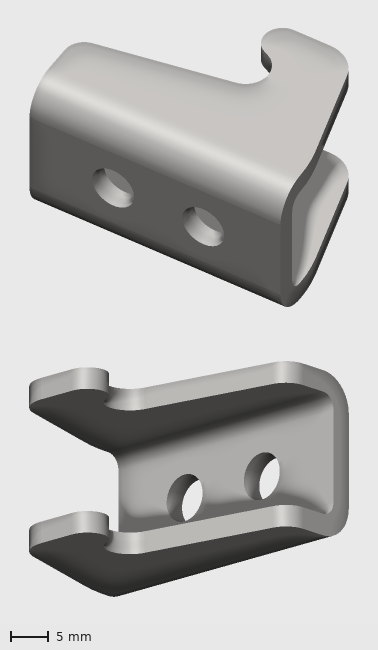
import cadquery as cq
import math

length = 39.0
depth = 28.0
height = 23.0

wall = 3.0
inner_bend_radius = 2.0
outer_bend_radius = inner_bend_radius + wall

hole_diameter = 6.5
first_hole_x = 13.0
hole_spacing = 14.0

heel_radius = 3.0
ramp_angle = math.radians(10)
throat_x, throat_y = 22.0, 19.0
throat_radius = 3.5
tip_radius = 2.9
tip_x, tip_y = 24.02, depth - tip_radius
crown_radius = 5.0
flank_angle = math.radians(15)
flank_radius = 20.0


def on_circle(x, y, radius, angle):
    """Point on a circle at an angle measured from +X."""
    return (x + radius * math.cos(angle), y + radius * math.sin(angle))


def channel():
    """U-shaped channel, open towards +Y, running along X."""
    outer = (
        cq.Workplane("XY")
        .box(length, depth, height, centered=False)
        .edges("|X and <Y")
        .fillet(outer_bend_radius)
    )
    inner = (
        cq.Workplane("XY")
        .box(length, depth, height - 2 * wall, centered=False)
        .translate((0, wall, wall))
        .edges("|X and <Y")
        .fillet(inner_bend_radius)
    )
    return outer.cut(inner)


def hook_outline():
    """Flange outline in XY, extruded over the full height."""
    ramp_normal = ramp_angle - math.pi / 2
    ramp_end = on_circle(throat_x, throat_y, throat_radius, ramp_normal)
    ramp_y_at_left = ramp_end[1] - ramp_end[0] * math.tan(ramp_angle)
    heel_y = ramp_y_at_left - heel_radius * math.tan((math.pi / 2 - ramp_angle) / 2)
    ramp_start_angle = ramp_angle + math.pi / 2
    ramp_start = on_circle(heel_radius, heel_y, heel_radius, ramp_start_angle)
    heel_mid_angle = (math.pi + ramp_start_angle) / 2
    heel_mid = on_circle(heel_radius, heel_y, heel_radius, heel_mid_angle)

    center_distance = math.hypot(tip_x - throat_x, tip_y - throat_y)
    center_angle = math.atan2(tip_y - throat_y, tip_x - throat_x)
    neck_angle = center_angle - math.acos((throat_radius + tip_radius) / center_distance)
    throat_end = on_circle(throat_x, throat_y, throat_radius, neck_angle)
    tip_start = on_circle(tip_x, tip_y, tip_radius, neck_angle + math.pi)

    flank_start = on_circle(length - flank_radius, outer_bend_radius, flank_radius, flank_angle)
    crown_y = depth - crown_radius
    crown_start_y = crown_y + crown_radius * math.sin(flank_angle)
    crown_start_x = flank_start[0] - (crown_start_y - flank_start[1]) * math.tan(flank_angle)
    crown_x = crown_start_x - crown_radius * math.cos(flank_angle)
    crown_mid_angle = (flank_angle + math.pi / 2) / 2

    return (
        cq.Workplane("XY")
        .moveTo(0, 0)
        .lineTo(length, 0)
        .lineTo(length, outer_bend_radius)
        .threePointArc(
            on_circle(length - flank_radius, outer_bend_radius, flank_radius, flank_angle / 2),
            flank_start,
        )
        .lineTo(crown_start_x, crown_start_y)
        .threePointArc(
            on_circle(crown_x, crown_y, crown_radius, crown_mid_angle),
            (crown_x, depth),
        )
        .lineTo(tip_x, depth)
        .threePointArc((tip_x - tip_radius, tip_y), tip_start)
        .lineTo(*throat_end)
        .threePointArc((throat_x + throat_radius, throat_y), ramp_end)
        .lineTo(*ramp_start)
        .threePointArc(heel_mid, (0, heel_y))
        .close()
        .extrude(height)
    )


def mounting_holes():
    """Cylinders along Y that pass through the web."""
    centers = [(first_hole_x + i * hole_spacing, height / 2) for i in range(2)]
    return (
        cq.Workplane("XZ")
        .pushPoints(centers)
        .circle(hole_diameter / 2)
        .extrude(-depth)
    )


result = channel().intersect(hook_outline()).cut(mounting_holes())